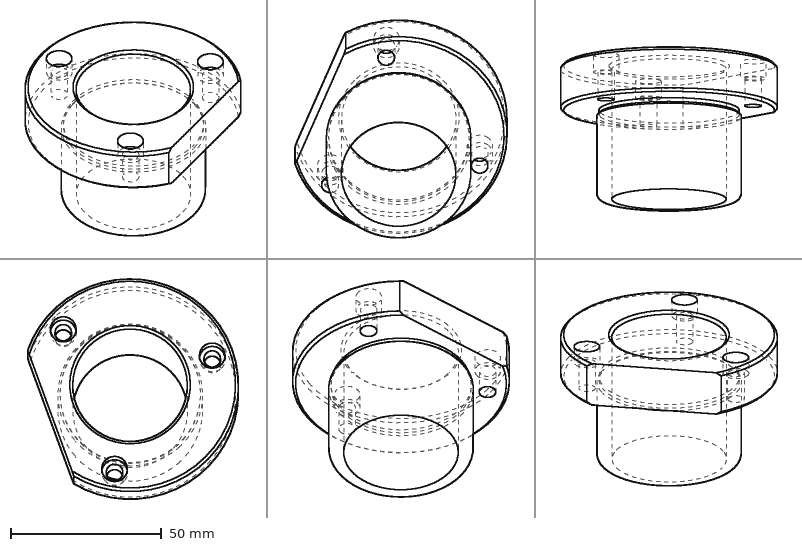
import cadquery as cq

flange_diameter = 72.0
flange_thickness = 15.0
flange_chamfer = 1.0
flat_offset = 28.0

total_height = 45.0
spigot_diameter = 48.0
spigot_top_chamfer = 0.7
spigot_bottom_fillet = 2.0

relief_diameter = spigot_diameter - 2 * spigot_top_chamfer
relief_height = 1.3

bore_diameter = 38.0
bore_chamfer = 1.0

hole_count = 3
hole_circle_radius = 29.0
first_hole_angle = 180.0
hole_diameter = 5.5
counterbore_diameter = 8.5
counterbore_depth = 5.7

flange_bottom = total_height - flange_thickness
spigot_top = flange_bottom - relief_height


def cylinder(diameter, bottom, height):
    """Solid cylinder on the Z axis."""
    return cq.Workplane("XY").workplane(offset=bottom).circle(diameter / 2).extrude(height)


def make_flange():
    """Round flange with chamfered rims, cut off by one flat."""
    disc = cylinder(flange_diameter, flange_bottom, flange_thickness)
    disc = disc.edges("%CIRCLE").chamfer(flange_chamfer)
    beyond_flat = (
        cq.Workplane("XY")
        .box(flange_diameter, flange_diameter, total_height, centered=(False, True, False))
        .translate((flat_offset, 0, 0))
    )
    return disc.cut(beyond_flat)


def make_spigot():
    """Spigot with a rounded lower end and a relief neck under the flange."""
    spigot = cylinder(spigot_diameter, 0, spigot_top)
    spigot = spigot.faces("<Z").edges().fillet(spigot_bottom_fillet)
    spigot = spigot.faces(">Z").edges().chamfer(spigot_top_chamfer)
    neck = cylinder(relief_diameter, spigot_top, relief_height)
    return spigot.union(neck)


def cut_bore(body):
    """Through bore with a chamfered upper mouth."""
    bored = body.cut(cylinder(bore_diameter, 0, total_height))
    return bored.faces(">Z").edges(cq.selectors.RadiusNthSelector(0)).chamfer(bore_chamfer)


def cut_mounting_holes(body):
    """Counterbored holes evenly spaced around the flange."""
    return (
        body.faces(">Z")
        .workplane(origin=(0, 0, total_height))
        .polarArray(hole_circle_radius, first_hole_angle, 360, hole_count)
        .cboreHole(hole_diameter, counterbore_diameter, counterbore_depth)
    )


result = cut_mounting_holes(cut_bore(make_flange().union(make_spigot())))